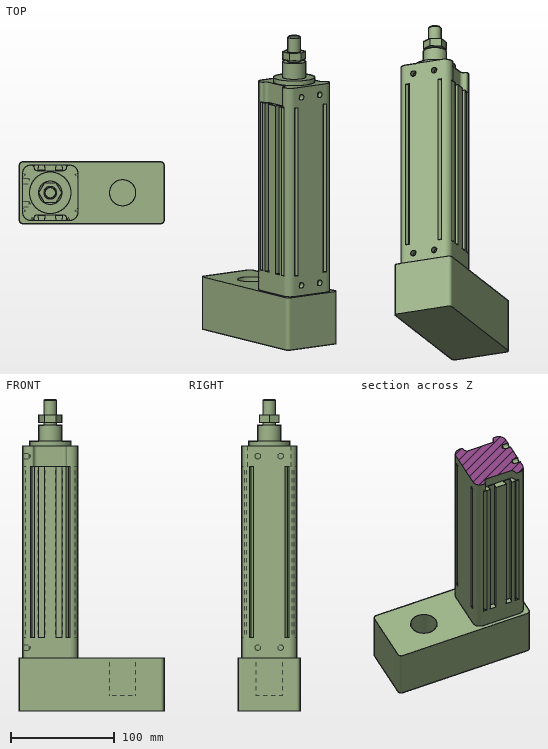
import cadquery as cq
import math

total_height = 301.0
overlap = 1.5

base_length = 140.0
base_width = 60.0
base_height = 51.5
base_corner_radius = 3.5
bore_diameter = 25.3
bore_offset = 69.8
bore_depth = 36.0

body_width = 53.3
body_height = 204.7
body_corner_radius = 7.5
body_half = body_width / 2
body_top = base_height + body_height

end_margin = 20.0
groove_bottom = base_height + end_margin
groove_length = body_height - 2 * end_margin

slot_centre = 8.5
slot_mouth_width = 5.7
slot_floor_width = 7.0
slot_depth = 4.8

vee_inner = 15.0
vee_apex = 17.5
vee_outer = 19.0
vee_depth = 2.7

recess_floor_half = 12.3
recess_bend_radius = 3.3
recess_lip_radius = 2.0
recess_depth = recess_bend_radius + recess_lip_radius
recess_bend_half = recess_floor_half + recess_bend_radius
recess_mouth_half = recess_bend_half + recess_lip_radius

mount_hole_diameter = 5.5
mount_hole_depth = 6.0
mount_hole_spacing = 22.0
mount_hole_inset = 10.0
drill_point_angle = 118.0

flange_diameter = 40.0
flange_height = 4.5
rod_diameter = 22.5
rod_length = 15.5
stud_diameter = 12.3
stud_chamfer = 1.2
nut_across_flats = 19.3
nut_across_corners = nut_across_flats / math.cos(math.radians(30))
nut_height = 7.5
nut_gap = 2.5
flange_top = body_top + flange_height
rod_top = flange_top + rod_length


def round_bar(diameter, bottom, top):
    """Upright cylinder on the rod axis."""
    return cq.Workplane("XY").workplane(offset=bottom).circle(diameter / 2).extrude(top - bottom)


def make_base():
    centre_x = (base_length - base_width) / 2
    block = (
        cq.Workplane("XY")
        .box(base_length, base_width, base_height, centered=(True, True, False))
        .translate((centre_x, 0, 0))
        .edges("|Z")
        .fillet(base_corner_radius)
    )
    bore = (
        cq.Workplane("XY", origin=(bore_offset, 0, base_height))
        .circle(bore_diameter / 2)
        .extrude(-bore_depth)
    )
    return block.cut(bore)


def on_each_face(cutter, angles):
    """Copies of a cutter made for the -Y face, turned about the rod axis."""
    return [cutter.rotate((0, 0, 0), (0, 0, 1), angle) for angle in angles]


def make_sensor_slot(side):
    """Dovetail slot in the -Y face; side is -1 or 1."""
    centre = side * slot_centre
    floor_y = -body_half + slot_depth
    return (
        cq.Workplane("XY", origin=(0, 0, groove_bottom))
        .moveTo(centre - slot_mouth_width / 2, -body_half)
        .lineTo(centre - slot_floor_width / 2, floor_y)
        .lineTo(centre + slot_floor_width / 2, floor_y)
        .lineTo(centre + slot_mouth_width / 2, -body_half)
        .close()
        .extrude(groove_length)
    )


def make_vee_groove(side):
    """V groove near one end of the -Y face; side is -1 or 1."""
    clear_y = -body_half - vee_depth
    return (
        cq.Workplane("XY", origin=(0, 0, groove_bottom))
        .moveTo(side * vee_inner, clear_y)
        .lineTo(side * vee_inner, -body_half)
        .lineTo(side * vee_apex, -body_half + vee_depth)
        .lineTo(side * vee_outer, -body_half)
        .lineTo(side * vee_outer, clear_y)
        .close()
        .extrude(groove_length)
    )


def make_recess():
    """Recess whose ends curve up from the floor, then roll over onto the face."""
    floor_y = -body_half + recess_depth
    bend_y = -body_half + recess_lip_radius
    return (
        cq.Workplane("XY", origin=(0, 0, body_top - end_margin))
        .moveTo(-recess_floor_half, floor_y)
        .lineTo(recess_floor_half, floor_y)
        .radiusArc((recess_bend_half, bend_y), recess_bend_radius)
        .radiusArc((recess_mouth_half, -body_half), -recess_lip_radius)
        .lineTo(-recess_mouth_half, -body_half)
        .radiusArc((-recess_bend_half, bend_y), -recess_lip_radius)
        .radiusArc((-recess_floor_half, floor_y), recess_bend_radius)
        .close()
        .extrude(end_margin)
    )


def make_mount_holes():
    """Drilled holes with a conical point, two at each end of the -X face."""
    radius = mount_hole_diameter / 2
    point_length = radius / math.tan(math.radians(drill_point_angle / 2))
    drill = (
        cq.Workplane("XY")
        .lineTo(0, radius)
        .lineTo(mount_hole_depth, radius)
        .lineTo(mount_hole_depth + point_length, 0)
        .close()
        .revolve(360, (0, 0, 0), (1, 0, 0))
    )
    heights = (base_height + mount_hole_inset, body_top - mount_hole_inset)
    return [
        drill.translate((-body_half, side * mount_hole_spacing / 2, z))
        for side in (-1, 1)
        for z in heights
    ]


def make_body():
    body = (
        cq.Workplane("XY", origin=(0, 0, base_height - overlap))
        .rect(body_width, body_width)
        .extrude(body_height + overlap)
        .edges("|Z")
        .fillet(body_corner_radius)
    )
    cutters = on_each_face(make_recess(), (0, 180))
    for side in (-1, 1):
        cutters += on_each_face(make_sensor_slot(side), (0, 180))
        cutters += on_each_face(make_vee_groove(side), (0, 90, 180, 270))
    cutters += make_mount_holes()
    for cutter in cutters:
        body = body.cut(cutter)
    return body


def make_rod_end():
    flange = round_bar(flange_diameter, body_top - overlap, flange_top)
    rod = round_bar(rod_diameter, flange_top - overlap, rod_top)
    stud = round_bar(stud_diameter, rod_top - overlap, total_height).faces(">Z").chamfer(stud_chamfer)
    nut = (
        cq.Workplane("XY", origin=(0, 0, rod_top + nut_gap))
        .polygon(6, nut_across_corners)
        .extrude(nut_height)
    )
    return flange.union(rod).union(stud).union(nut)


result = make_base().union(make_body()).union(make_rod_end())